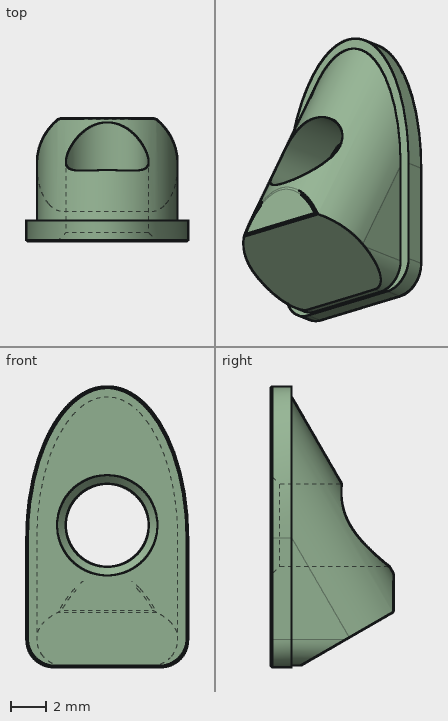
import cadquery as cq
import math

plate_width = 9.2
plate_thickness = 1.2
plate_height = 15.96
plate_corner_radius = 1.6
front_chamfer = 0.1

body_width = 8.0
body_depth = 7.0
body_corner_radius = 1.5
back_chamfer = 0.07
body_bottom_step = 0.1
bar_angle = 30.0
bar_length = 6.54
axis_height = -0.71

hole_diameter = 4.7
countersink_diameter = 5.7
countersink_angle = 90.0

bar_radius = body_width / 2
slant = math.radians(bar_angle)
rim = (plate_width - body_width) / 2
ellipse_half_height = bar_radius / math.sin(slant)
arch_height = ellipse_half_height + rim
plate_bottom = axis_height + arch_height - plate_height
body_bottom = plate_bottom + body_bottom_step

axis_end_y = plate_thickness + bar_length * math.sin(slant)
axis_end_z = axis_height - bar_length * math.cos(slant)
underside_y = axis_end_y - (axis_end_z - body_bottom) / math.tan(slant)


def make_plate():
    half_width = plate_width / 2
    plate = (
        cq.Workplane("XZ")
        .moveTo(half_width, axis_height)
        .ellipseArc(half_width, arch_height, 0, 180, startAtCurrent=True)
        .lineTo(-half_width, plate_bottom)
        .lineTo(half_width, plate_bottom)
        .close()
        .extrude(-plate_thickness)
    )
    plate = plate.edges("|Y").edges("<Z").fillet(plate_corner_radius)
    return plate.faces("<Y").chamfer(front_chamfer)


def make_bar():
    """Round bar running down and back; it starts in front of the plate and is trimmed to the body."""
    axis = cq.Vector(0, math.sin(slant), -math.cos(slant))
    lead_in = 2 * ellipse_half_height
    start = cq.Vector(0, plate_thickness, axis_height) - axis * lead_in
    bar = cq.Workplane(cq.Solid.makeCylinder(bar_radius, lead_in + bar_length, start, axis))

    envelope = cq.Workplane("XY").box(
        plate_width, body_depth - plate_thickness, plate_height,
        centered=(True, False, False),
    )
    return bar.intersect(envelope.translate((0, plate_thickness, body_bottom)))


def make_fill():
    """Flat-sided fill between the bar axis, the back of the plate and the underside."""
    fill = (
        cq.Workplane("YZ")
        .moveTo(plate_thickness, axis_height)
        .lineTo(axis_end_y, axis_end_z)
        .lineTo(underside_y, body_bottom)
        .lineTo(plate_thickness, body_bottom)
        .close()
        .extrude(bar_radius, both=True)
    )
    return fill.edges("|Y").edges("<Z").fillet(body_corner_radius)


def make_hole():
    hole = cq.Workplane("XZ").circle(hole_diameter / 2).extrude(-body_depth)
    countersink_step = (countersink_diameter - hole_diameter) / 2
    countersink_depth = countersink_step / math.tan(math.radians(countersink_angle / 2))
    countersink = cq.Solid.makeCone(
        countersink_diameter / 2, hole_diameter / 2, countersink_depth,
        dir=cq.Vector(0, 1, 0),
    )
    return hole.union(cq.Workplane(countersink))


plate = make_plate()
body = make_bar().union(make_fill()).faces(">Y").chamfer(back_chamfer)
result = plate.union(body).cut(make_hole())